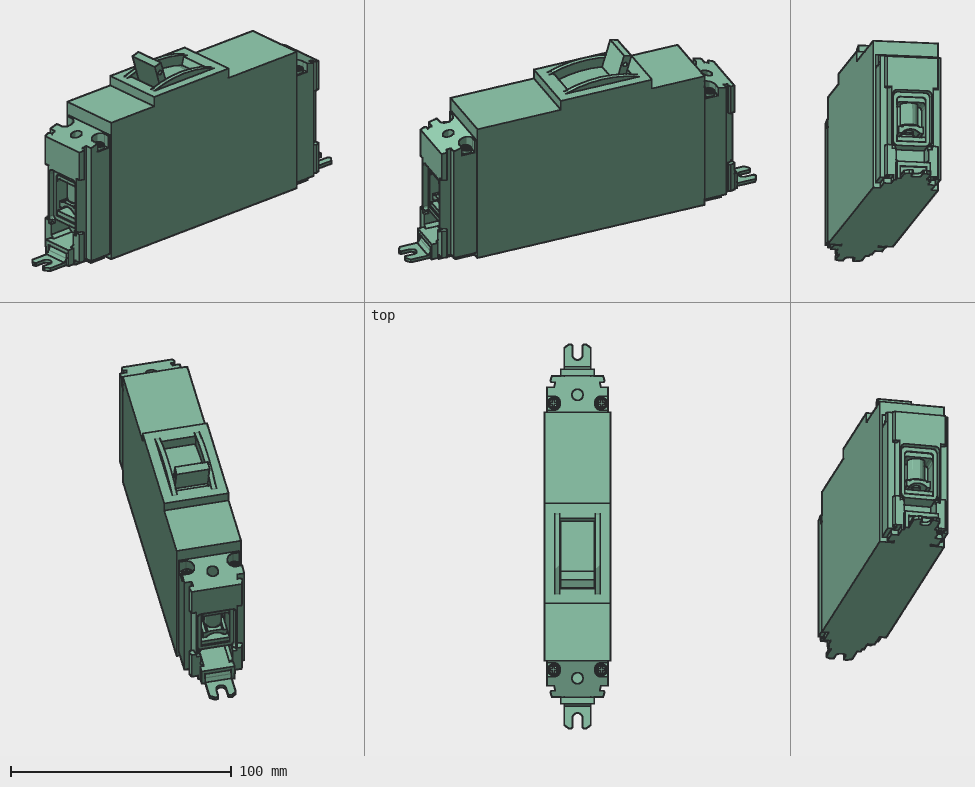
import cadquery as cq

OVERLAP = 1.7

BODY_WIDTH = 30.0
BODY_END = 56.4
BODY_HEIGHT = 68.4
DECK_HEIGHT = 73.0
DECK_FRONT = -30.3
DECK_BACK = 15.0

SHROUD_HALF = 14.0
SHROUD_STEP = 67.7
SHROUD_END = 72.7
SHROUD_BOTTOM = 2.3
SHROUD_TOP_INNER = 62.0
SHROUD_TOP_OUTER = 57.5

NOSE_ROOT_HALF = 10.6
NOSE_TIP_HALF = 9.5
HOOK_HALF = 11.7
HOOK_START = 69.8
HOOK_BARB = 0.7
LOWER_HOOK_TOP = 16.4
UPPER_HOOK_BOTTOM = 43.5

ACCESS_DIAMETER = 5.0
ACCESS_Y = 64.2
POCKET_DIAMETER = 6.5
POCKET_X = 11.0
POCKET_Y = 60.4
POCKET_FLOOR = 55.7
SCREW_DIAMETER = 5.0
SCREW_HEIGHT = 2.1
SCREW_CHAMFER = 0.5
DRIVE_WIDTH = 0.9
DRIVE_LENGTH = 3.0
DRIVE_DEPTH = 1.0

WINDOW_HALF = 8.9
WINDOW_BOTTOM = 16.2
WINDOW_TOP = 42.1
WINDOW_DEPTH = 2.3
WINDOW_DRAFT = 13
WINDOW_CORNER = 2.1
RIM_HALF = 6.6
RIM_BOTTOM = 18.8
RIM_TOP = 39.5
RIM_DEPTH = 0.7
RIM_CORNER = 1.5
CAVITY_BOTTOM = 21.0
CAVITY_TOP = 37.2
CAVITY_BACK = 60.0

CLAMP_SCREW_DIAMETER = 8.0
CLAMP_SCREW_BOTTOM = 26.5
CLAMP_SCREW_CHAMFER = 0.9
CLAMP_TIP_DIAMETER = 4.0
CLAMP_TIP_BOTTOM = 23.8
CLAMP_BOTTOM = 23.0
CLAMP_SHOULDER = 26.0
CLAMP_TOP = 26.5
CLAMP_HALF = 5.5
CLAMP_NECK_HALF = 3.3
CLAMP_ARCH_HALF = 4.0
CLAMP_ARCH_TOP = 24.9
CLAMP_END = 69.3

TROUGH_HALF = 7.5
TROUGH_TOP = 16.7
TROUGH_CORNER = 1.5
TROUGH_MOUTH_HALF = 9.2
TROUGH_MOUTH_BOTTOM = 14.8
TROUGH_BACK = 61.8

RAIL_HALF = 11.8
RAIL_END = 66.0
RAIL_GAP = 1.5
TONGUE_HALF = 8.5
BLOCK_HALF = 7.7
BLOCK_END = 75.9
BLOCK_HEIGHT = 8.0
FOOT_HALF = 6.1
FOOT_END = 87.0
FOOT_THICKNESS = 1.5
FOOT_SLOT = 4.5
FOOT_SLOT_CENTER = 82.3
FOOT_CORNER_X = 2.1
FOOT_CORNER_Y = 1.5
FOOT_LEAD_IN = 0.5
WEDGE_END = 76.9
WEDGE_BREAK_Y = 75.5
WEDGE_BREAK_Z = 3.3
RECESS_TOP = 6.0
RECESS_BACK = 74.6

OPENING_HALF = 8.0
ARCH_CENTER = -7.8
OPENING_FRONT = -23.7
OPENING_BACK = 8.2
OPENING_DEPTH = 8.7
ARCH_OUTER_HALF = 10.3
ARCH_CHORD = 36.4
ARCH_RISE = 3.1
DRUM_HALF = 7.7
DRUM_BACK = 7.0
DRUM_DROP = 4.7

HANDLE_TIP_Y = -19.7
HANDLE_TIP_Z = 84.4
HANDLE_THICKNESS = 3.8
HANDLE_LENGTH = 16.5
HANDLE_LEAN = 16.5
HANDLE_HOLE_DIAMETER = 2.0
HANDLE_HOLE_DROP = 4.5


def block(x_half, y0, y1, z0, z1):
    """Box centred on X between the given Y and Z limits."""
    box = cq.Workplane("XY").box(2 * x_half, y1 - y0, z1 - z0, centered=(True, False, False))
    return box.translate((0, y0, z0))


def side_profile(points, x_half):
    """Prism of a YZ outline, centred on X."""
    return cq.Workplane("YZ").polyline(points).close().extrude(x_half, both=True)


def plan_prism(half_points, z0, z1):
    """Vertical prism of a plan outline given by its +X half."""
    mirrored = [(-x, y) for x, y in reversed(half_points)]
    return cq.Workplane("XY").workplane(offset=z0).polyline(half_points + mirrored).close().extrude(z1 - z0)


def cylinder(diameter, x, y, z0, z1):
    """Vertical cylinder."""
    return cq.Workplane("XY").center(x, y).circle(diameter / 2).extrude(z1 - z0).translate((0, 0, z0))


def shroud():
    """Sloped shroud with its tapered nose and hooked covers."""
    start = BODY_END - OVERLAP
    taper = (NOSE_ROOT_HALF - NOSE_TIP_HALF) / (SHROUD_END - SHROUD_STEP)
    hook_root_half = NOSE_ROOT_HALF - taper * (HOOK_START - SHROUD_STEP)
    core = plan_prism(
        [
            (SHROUD_HALF, start),
            (SHROUD_HALF, SHROUD_STEP),
            (NOSE_ROOT_HALF, SHROUD_STEP),
            (NOSE_TIP_HALF, SHROUD_END),
        ],
        SHROUD_BOTTOM,
        BODY_HEIGHT,
    )
    hook_outline = [
        (hook_root_half, HOOK_START),
        (HOOK_HALF, HOOK_START),
        (HOOK_HALF + HOOK_BARB, HOOK_START + HOOK_BARB),
        (HOOK_HALF, SHROUD_END),
    ]
    lower_hook = plan_prism(hook_outline, SHROUD_BOTTOM, LOWER_HOOK_TOP)
    upper_hook = plan_prism(hook_outline, UPPER_HOOK_BOTTOM, BODY_HEIGHT)
    slope = (SHROUD_TOP_INNER - SHROUD_TOP_OUTER) / (SHROUD_END - BODY_END)
    envelope = side_profile(
        [
            (start, 0),
            (SHROUD_END, 0),
            (SHROUD_END, SHROUD_TOP_OUTER),
            (start, SHROUD_TOP_INNER + slope * OVERLAP),
        ],
        BODY_WIDTH,
    )
    return core.union(lower_hook).union(upper_hook).intersect(envelope)


def screw_pocket(side):
    """Round pocket that opens through the side of the shroud."""
    x = side * POCKET_X
    pocket = cylinder(POCKET_DIAMETER, x, POCKET_Y, POCKET_FLOOR, BODY_HEIGHT)
    reach = BODY_WIDTH / 2 - POCKET_X
    opening = (
        cq.Workplane("XY")
        .box(reach, POCKET_DIAMETER, BODY_HEIGHT - POCKET_FLOOR, centered=(True, True, False))
        .translate((x + side * reach / 2, POCKET_Y, POCKET_FLOOR))
    )
    return pocket.union(opening)


def cross_screw(side):
    """Screw head with a cross drive, standing on the pocket floor."""
    x = side * POCKET_X
    top = POCKET_FLOOR + SCREW_HEIGHT
    head = cylinder(SCREW_DIAMETER, x, POCKET_Y, POCKET_FLOOR - OVERLAP, top)
    head = head.faces(">Z").chamfer(SCREW_CHAMFER)
    drive = (
        cq.Workplane("XY")
        .rect(DRIVE_LENGTH, DRIVE_WIDTH)
        .extrude(-DRIVE_DEPTH)
        .union(cq.Workplane("XY").rect(DRIVE_WIDTH, DRIVE_LENGTH).extrude(-DRIVE_DEPTH))
    )
    return head.cut(drive.translate((x, POCKET_Y, top)))


def window():
    """Stepped opening with drafted outer walls in the end face, leading to the clamp cavity."""
    rim_start = SHROUD_END - WINDOW_DEPTH
    cavity_start = rim_start - RIM_DEPTH
    outer = (
        cq.Workplane("XZ", origin=(0, SHROUD_END, (WINDOW_BOTTOM + WINDOW_TOP) / 2))
        .rect(2 * WINDOW_HALF, WINDOW_TOP - WINDOW_BOTTOM)
        .extrude(WINDOW_DEPTH, taper=WINDOW_DRAFT)
    )
    rim = block(RIM_HALF, cavity_start, SHROUD_END, RIM_BOTTOM, RIM_TOP)
    cavity = block(RIM_HALF, CAVITY_BACK, SHROUD_END, CAVITY_BOTTOM, CAVITY_TOP)
    outer = outer.edges("not #Y").fillet(WINDOW_CORNER)
    rim = rim.edges("|Y and >Z").fillet(RIM_CORNER)
    cavity = cavity.edges("|Y and >Z").fillet(RIM_CORNER)
    return outer.union(rim).union(cavity)


def trough():
    """Wire trough with bevelled lower corners and a wider upper mouth."""
    channel = block(TROUGH_HALF, TROUGH_BACK, SHROUD_END, BLOCK_HEIGHT, TROUGH_TOP)
    channel = channel.edges("|Y and <Z").chamfer(TROUGH_CORNER)
    mouth = block(TROUGH_MOUTH_HALF, SHROUD_END - WINDOW_DEPTH, SHROUD_END, TROUGH_MOUTH_BOTTOM, TROUGH_TOP)
    return channel.union(mouth)


def wire_clamp():
    """Clamping screw and the arched saddle it presses on."""
    screw = cylinder(CLAMP_SCREW_DIAMETER, 0, ACCESS_Y, CLAMP_SCREW_BOTTOM, CAVITY_TOP + OVERLAP)
    screw = screw.faces("<Z").chamfer(CLAMP_SCREW_CHAMFER)
    tip = cylinder(CLAMP_TIP_DIAMETER, 0, ACCESS_Y, CLAMP_TIP_BOTTOM, CLAMP_SCREW_BOTTOM)
    saddle = (
        cq.Workplane("XZ")
        .moveTo(-CLAMP_HALF, CLAMP_BOTTOM)
        .lineTo(-CLAMP_HALF, CLAMP_SHOULDER)
        .lineTo(-CLAMP_ARCH_HALF, CLAMP_SHOULDER)
        .lineTo(-CLAMP_NECK_HALF, CLAMP_TOP)
        .lineTo(CLAMP_NECK_HALF, CLAMP_TOP)
        .lineTo(CLAMP_ARCH_HALF, CLAMP_SHOULDER)
        .lineTo(CLAMP_HALF, CLAMP_SHOULDER)
        .lineTo(CLAMP_HALF, CLAMP_BOTTOM)
        .lineTo(CLAMP_ARCH_HALF, CLAMP_BOTTOM)
        .threePointArc((0, CLAMP_ARCH_TOP), (-CLAMP_ARCH_HALF, CLAMP_BOTTOM))
        .close()
        .extrude(-(CLAMP_END - CAVITY_BACK + OVERLAP))
        .translate((0, CAVITY_BACK - OVERLAP, 0))
    )
    return screw.union(tip).union(saddle)


def mounting_base(rail_gap):
    """Base rail, mounting block and slotted foot; rail_gap parts the rail from the housing."""
    rail = block(RAIL_HALF, BODY_END + rail_gap, RAIL_END, 0, SHROUD_BOTTOM)
    tongue = block(TONGUE_HALF, BODY_END, SHROUD_END, 0, SHROUD_BOTTOM)
    mount = block(BLOCK_HALF, SHROUD_END, BLOCK_END, 0, BLOCK_HEIGHT)
    recess = block(FOOT_HALF, RECESS_BACK, BLOCK_END, 0, RECESS_TOP)
    wedge = (
        cq.Workplane("YZ")
        .moveTo(RECESS_BACK, 0)
        .lineTo(WEDGE_END, 0)
        .lineTo(WEDGE_END, FOOT_THICKNESS)
        .lineTo(WEDGE_BREAK_Y, WEDGE_BREAK_Z)
        .tangentArcPoint((RECESS_BACK, RECESS_TOP), relative=False)
        .close()
        .extrude(FOOT_HALF, both=True)
    )
    foot = plan_prism(
        [
            (FOOT_HALF, RECESS_BACK),
            (FOOT_HALF, FOOT_END - FOOT_CORNER_Y),
            (FOOT_HALF - FOOT_CORNER_X, FOOT_END),
        ],
        0,
        FOOT_THICKNESS,
    )
    slot = block(FOOT_SLOT / 2, FOOT_SLOT_CENTER, FOOT_END, 0, FOOT_THICKNESS)
    slot_end = cylinder(FOOT_SLOT, 0, FOOT_SLOT_CENTER, 0, FOOT_THICKNESS)
    lead_in = plan_prism(
        [
            (FOOT_SLOT / 2, FOOT_END - FOOT_LEAD_IN),
            (FOOT_SLOT / 2 + FOOT_LEAD_IN, FOOT_END),
        ],
        0,
        FOOT_THICKNESS,
    )
    foot = foot.cut(slot).cut(slot_end).cut(lead_in)
    return rail.union(tongue).union(mount.cut(recess)).union(wedge).union(foot)


def terminal_end(rail_gap):
    """Complete terminal end on the +Y side."""
    access = cylinder(ACCESS_DIAMETER, 0, ACCESS_Y, CAVITY_TOP, BODY_HEIGHT)
    end = shroud().cut(access).cut(window()).cut(trough())
    for side in (-1, 1):
        end = end.cut(screw_pocket(side)).union(cross_screw(side))
    return end.union(wire_clamp()).union(mounting_base(rail_gap))


def arch_disc(radius, center_z, x_half):
    """Disc about an axis along X, centred under the handle opening."""
    return cq.Workplane("YZ").center(ARCH_CENTER, center_z).circle(radius).extrude(x_half, both=True)


def housing():
    """Housing with the raised deck, arched rails, opening and drum."""
    body = block(BODY_WIDTH / 2, -BODY_END, BODY_END, 0, BODY_HEIGHT)
    deck = block(BODY_WIDTH / 2, DECK_FRONT, DECK_BACK, 0, DECK_HEIGHT)
    arch_radius = ((ARCH_CHORD / 2) ** 2 + ARCH_RISE**2) / (2 * ARCH_RISE)
    arch_center = DECK_HEIGHT + ARCH_RISE - arch_radius
    opening_floor = DECK_HEIGHT - OPENING_DEPTH
    above_deck = block(
        ARCH_OUTER_HALF,
        ARCH_CENTER - ARCH_CHORD / 2,
        ARCH_CENTER + ARCH_CHORD / 2,
        opening_floor,
        DECK_HEIGHT + ARCH_RISE,
    )
    rails = arch_disc(arch_radius, arch_center, ARCH_OUTER_HALF).intersect(above_deck)
    gap = block(OPENING_HALF, DECK_FRONT, DECK_BACK, DECK_HEIGHT, DECK_HEIGHT + ARCH_RISE)
    opening = side_profile(
        [
            (OPENING_FRONT, opening_floor),
            (OPENING_FRONT, DECK_HEIGHT),
            (OPENING_BACK, DECK_HEIGHT),
            (DRUM_BACK, DECK_HEIGHT - DRUM_DROP),
            (DRUM_BACK, opening_floor),
        ],
        OPENING_HALF,
    )
    drum_limits = block(DRUM_HALF, OPENING_FRONT, DRUM_BACK, opening_floor - OVERLAP, DECK_HEIGHT)
    drum = arch_disc(arch_radius - DRUM_DROP, arch_center, DRUM_HALF).intersect(drum_limits)
    return body.union(deck).union(rails).cut(gap).cut(opening).union(drum)


def handle():
    """Flat handle with a cross hole, leaning about X."""
    bar = block(DRUM_HALF, -HANDLE_THICKNESS, 0, -HANDLE_LENGTH, 0)
    hole = (
        cq.Workplane("YZ")
        .center(-HANDLE_THICKNESS / 2, -HANDLE_HOLE_DROP)
        .circle(HANDLE_HOLE_DIAMETER / 2)
        .extrude(DRUM_HALF, both=True)
    )
    bar = bar.cut(hole).rotate((0, 0, 0), (1, 0, 0), HANDLE_LEAN)
    return bar.translate((0, HANDLE_TIP_Y, HANDLE_TIP_Z))


back_end = terminal_end(0)
front_end = terminal_end(RAIL_GAP).mirror("XZ")
result = housing().union(handle()).union(back_end).union(front_end)